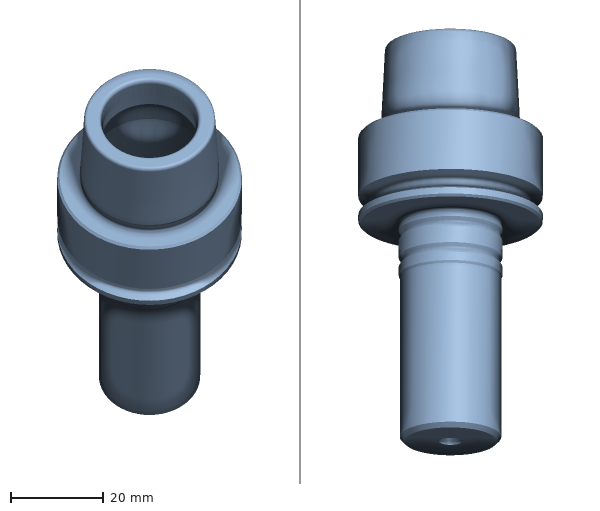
import math

import cadquery as cq

total_height = 89.5
taper_length = 20.0
flange_width = 20.0
flange_top = total_height - taper_length
flange_bottom = flange_top - flange_width

gauge_radius = 15.0
gauge_height = flange_top + 4.0
taper_ratio = 9.98
taper_slope = 0.5 / taper_ratio
taper_start = flange_top + 1.95
taper_rim_radius = 13.4
taper_rim_fillet = 0.83

flange_radius = 20.0
flange_chamfer = 0.5
gripper_center = flange_top - 16.0
gripper_root_radius = 34.8 / 2
gripper_half_width = 2.07
gripper_half_root = 0.85
gripper_fillet = 0.6

undercut_radius = 0.4
undercut_face_depth = 0.1
undercut_face_angle = math.radians(8)
undercut_side_angle = math.radians(15)
taper_relief_radius = 29.91 / 2
collar_relief_depth = 0.2

shank_radius = 11.0
shank_chamfer = 1.0
collar_radius = 22.5 / 2
collar_end = 37.65
collar_chamfer_height = 0.5
collar_groove_heights = (46.58, 40.65)
collar_groove_half_width = 1.08
collar_groove_angle = math.radians(30)
collar_groove_root_fillet = 1.0

mouth_radius = 21.0 / 2
mouth_fillet = 1.0
mouth_depth = 8.0
clamp_radius = 25.5 / 2
clamp_shoulder_angle = math.radians(60)
clamp_end = total_height - 15.9
cavity_floor_radius = 9.9
cavity_floor_fillet = 0.75
cavity_side_angle = math.radians(10)

seat_radius = 10.92 / 2
seat_chamfer = 0.6
seat_depth = 10.0
passage_radius = 5.0 / 2


def taper_radius(height):
    """Outer radius of the taper at a given height."""
    return gauge_radius - (height - gauge_height) * taper_slope


def on_circle(center, radius, angle):
    """Point of a circle in the (radius, height) plane."""
    return (center[0] + radius * math.cos(angle), center[1] + radius * math.sin(angle))


def add_arc(profile, center, radius, start, end):
    """Line to the start of an arc, then follow the arc to its end."""
    middle = on_circle(center, radius, (start + end) / 2)
    profile = profile.lineTo(*on_circle(center, radius, start))
    return profile.threePointArc(middle, on_circle(center, radius, end))


def undercut_reach(center_radius):
    """Radius at which the sloping floor of an undercut runs out into the flange face."""
    floor_drop = undercut_face_depth - undercut_radius * (1 - math.cos(undercut_face_angle))
    run = floor_drop / math.tan(undercut_face_angle)
    return center_radius + undercut_radius * math.sin(undercut_face_angle) + run


def add_taper(profile):
    """Rounded rim, conical side and the undercut down to the flange face."""
    side_angle = math.atan(taper_slope)
    rim_center = (taper_rim_radius, total_height - taper_rim_fillet)
    profile = add_arc(profile, rim_center, taper_rim_fillet, math.pi / 2, side_angle)
    start_radius = taper_radius(taper_start)
    relief_drop = (start_radius - taper_relief_radius) / math.tan(undercut_side_angle)
    profile = profile.lineTo(start_radius, taper_start)
    profile = profile.lineTo(taper_relief_radius, taper_start - relief_drop)
    center = (
        taper_relief_radius + undercut_radius,
        flange_top - undercut_face_depth + undercut_radius,
    )
    profile = add_arc(profile, center, undercut_radius, math.pi, 1.5 * math.pi + undercut_face_angle)
    return profile.lineTo(undercut_reach(center[0]), flange_top)


def add_flange(profile):
    """Chamfered flange rim without its gripper groove."""
    face_radius = flange_radius - flange_chamfer
    profile = profile.lineTo(face_radius, flange_top)
    profile = profile.lineTo(flange_radius, flange_top - flange_chamfer)
    profile = profile.lineTo(flange_radius, flange_bottom + flange_chamfer)
    return profile.lineTo(face_radius, flange_bottom)


def add_collar_undercut(profile):
    """Undercut between the lower flange face and the collar."""
    center = (
        collar_radius - collar_relief_depth + undercut_radius,
        flange_bottom + undercut_face_depth - undercut_radius,
    )
    side_end = math.pi + undercut_side_angle
    profile = profile.lineTo(undercut_reach(center[0]), flange_bottom)
    profile = add_arc(profile, center, undercut_radius, math.pi / 2 - undercut_face_angle, side_end)
    arc_end = on_circle(center, undercut_radius, side_end)
    side_drop = (collar_radius - arc_end[0]) / math.tan(undercut_side_angle)
    return profile.lineTo(collar_radius, arc_end[1] - side_drop)


def add_collar_groove(profile, height):
    """Shallow V groove with a rounded root."""
    root_half_height = collar_groove_root_fillet * math.sin(collar_groove_angle)
    side_height = collar_groove_half_width - root_half_height
    side_depth = side_height * math.tan(collar_groove_angle)
    root_center = (
        collar_radius - side_depth + collar_groove_root_fillet * math.cos(collar_groove_angle),
        height,
    )
    profile = profile.lineTo(collar_radius, height + collar_groove_half_width)
    profile = add_arc(
        profile,
        root_center,
        collar_groove_root_fillet,
        math.pi - collar_groove_angle,
        math.pi + collar_groove_angle,
    )
    return profile.lineTo(collar_radius, height - collar_groove_half_width)


def add_shank(profile):
    """End of the collar, plain shank and end chamfer."""
    profile = profile.lineTo(collar_radius, collar_end)
    profile = profile.lineTo(shank_radius, collar_end - collar_chamfer_height)
    profile = profile.lineTo(shank_radius, shank_chamfer)
    return profile.lineTo(shank_radius - shank_chamfer, 0)


def revolve(profile):
    """Close a (radius, height) profile and turn it about the Z axis."""
    return profile.close().revolve(360, (0, 0, 0), (0, 1, 0))


def make_body():
    profile = cq.Workplane("XZ").moveTo(0, total_height)
    profile = add_taper(profile)
    profile = add_flange(profile)
    profile = add_collar_undercut(profile)
    for height in collar_groove_heights:
        profile = add_collar_groove(profile, height)
    profile = add_shank(profile)
    return revolve(profile.lineTo(0, 0))


def make_gripper_groove():
    """Ring that cuts the V-shaped gripper groove with rounded root corners."""
    side_rise = gripper_half_width - gripper_half_root
    side_run = flange_radius - gripper_root_radius
    side_angle = math.atan2(side_rise, side_run)
    corner_turn = math.pi / 2 - side_angle
    center_offset = gripper_half_root - gripper_fillet * math.tan(corner_turn / 2)
    center_radius = gripper_root_radius + gripper_fillet
    upper = (center_radius, gripper_center + center_offset)
    lower = (center_radius, gripper_center - center_offset)
    profile = cq.Workplane("XZ").moveTo(flange_radius, gripper_center + gripper_half_width)
    profile = add_arc(profile, upper, gripper_fillet, math.pi - corner_turn, math.pi)
    profile = add_arc(profile, lower, gripper_fillet, math.pi, math.pi + corner_turn)
    return revolve(profile.lineTo(flange_radius, gripper_center - gripper_half_width))


def make_cavity():
    """Clamping cavity, coolant tube seat and through passage as one solid."""
    mouth_bottom = total_height - mouth_depth
    shoulder_drop = (clamp_radius - mouth_radius) / math.tan(clamp_shoulder_angle)

    tangent_radius = cavity_floor_radius + cavity_floor_fillet * math.cos(cavity_side_angle)
    tangent_height = clamp_end - (clamp_radius - tangent_radius) / math.tan(cavity_side_angle)
    floor_fillet_center = (
        cavity_floor_radius,
        tangent_height + cavity_floor_fillet * math.sin(cavity_side_angle),
    )
    floor_height = floor_fillet_center[1] - cavity_floor_fillet
    seat_floor = floor_height - seat_depth

    mouth_center = (mouth_radius + mouth_fillet, total_height - mouth_fillet)
    profile = cq.Workplane("XZ").moveTo(0, total_height)
    profile = add_arc(profile, mouth_center, mouth_fillet, math.pi / 2, math.pi)
    profile = profile.lineTo(mouth_radius, mouth_bottom)
    profile = profile.lineTo(clamp_radius, mouth_bottom - shoulder_drop)
    profile = profile.lineTo(clamp_radius, clamp_end)
    profile = add_arc(profile, floor_fillet_center, cavity_floor_fillet, -cavity_side_angle, -math.pi / 2)
    profile = profile.lineTo(seat_radius + seat_chamfer, floor_height)
    profile = profile.lineTo(seat_radius, floor_height - seat_chamfer)
    profile = profile.lineTo(seat_radius, seat_floor)
    profile = profile.lineTo(passage_radius, seat_floor)
    profile = profile.lineTo(passage_radius, 0)
    return revolve(profile.lineTo(0, 0))


result = make_body().cut(make_gripper_groove()).cut(make_cavity())